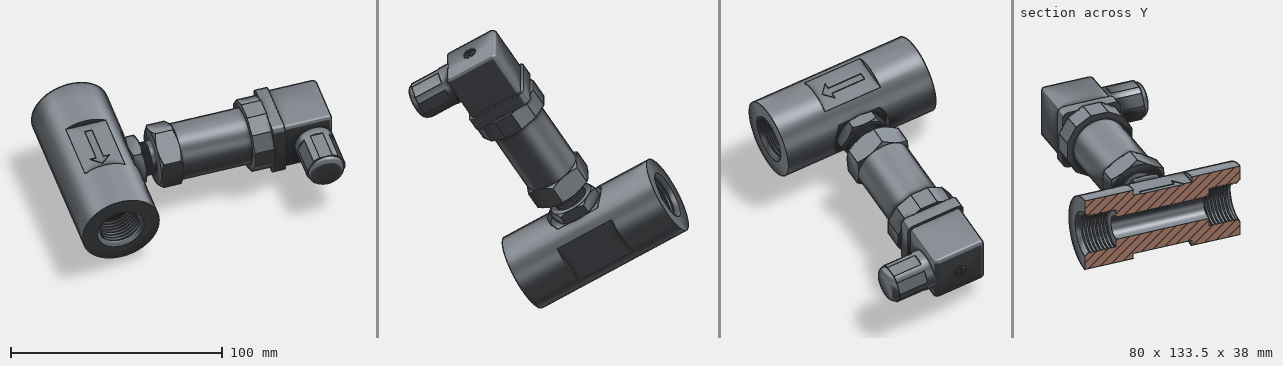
import cadquery as cq
import math


PIPE_LENGTH = 80.0
PIPE_RADIUS = 19.0
BORE_RADIUS = 6.0
PORT_DEPTH = 16.0
PORT_MINOR_RADIUS = 9.7
PORT_MAJOR_RADIUS = 10.3
PORT_PITCH = 1.814
PORT_MOUTH_RADIUS = 11.6
LABEL_LENGTH = 30.0
LABEL_HEIGHT = 16.2
ARROW_LENGTH = 22.0
ARROW_SHAFT_WIDTH = 3.6
ARROW_HEAD_WIDTH = 9.6
ARROW_HEAD_LENGTH = 4.2
ARROW_DEPTH = 0.3
SEAT_Y = 16.0
SEAT_RADIUS = 14.8

NUT_ACROSS_FLATS = 22.0
NUT_THICKNESS = 6.0
HEX_CHAMFER_ANGLE = 30.0

STEM_RADIUS = 8.0
STEM_ROOT_RADIUS = 7.4
STEM_PITCH = 1.0
STEM_THREAD_TURNS = 4
STEM_TIP_Y = 8.0
STEM_FILLET = 0.9
HEX_BOTTOM_Y = 28.5
HEX_THICKNESS = 11.0
HEX_ACROSS_FLATS = 27.0
BARREL_RADIUS = 13.5
RING_BOTTOM_Y = 73.8
RING_THICKNESS = 9.7
RING_SIDES = 12
RING_ACROSS_FLATS = 33.5

FLANGE_WIDTH = 30.0
FLANGE_THICKNESS = 6.0
FLANGE_CORNER = 3.4
PLUG_WIDTH = 27.0
PLUG_TOP_Y = 113.5
PLUG_CORNER = 2.2
TOTAL_TOP_Y = 114.5
SCREW_RADIUS = 3.1
SCREW_CHAMFER = 0.6
SCREW_SLOT_WIDTH = 1.0

GLAND_RADIUS = 9.4
GLAND_FLATS_START_X = 17.6
GLAND_FLATS_END_X = 32.4
GLAND_END_X = 35.5
GLAND_ACROSS_FLATS = 17.75
GLAND_NOSE_RADIUS = 8.7

NUT_TOP_Y = SEAT_Y + NUT_THICKNESS
HEX_TOP_Y = HEX_BOTTOM_Y + HEX_THICKNESS
RING_TOP_Y = RING_BOTTOM_Y + RING_THICKNESS
FLANGE_TOP_Y = RING_TOP_Y + FLANGE_THICKNESS
GLAND_Y = PLUG_TOP_Y - GLAND_RADIUS
LABEL_WIDTH = 2 * math.sqrt(PIPE_RADIUS**2 - LABEL_HEIGHT**2)


def plane_at(y):
    """Work plane facing +Y at height y; its local axes are +Z and +X."""
    return cq.Workplane(cq.Plane(origin=(0, y, 0), xDir=(0, 0, 1), normal=(0, 1, 0)))


def post(radius, bottom_y, top_y):
    """Round post along Y."""
    return plane_at(bottom_y).circle(radius).extrude(top_y - bottom_y)


def chamfered_hex(across_flats, bottom_y, thickness, corner_angle):
    """Hexagon along Y with conically chamfered corners; corner_angle turns a corner from Z towards X."""
    flat_radius = across_flats / 2
    corner_radius = flat_radius / math.cos(math.pi / 6)
    drop = (corner_radius - flat_radius) * math.tan(math.radians(HEX_CHAMFER_ANGLE))
    top_y = bottom_y + thickness
    prism = (
        plane_at(bottom_y)
        .transformed(rotate=(0, 0, corner_angle))
        .polygon(6, 2 * corner_radius)
        .extrude(thickness)
    )
    envelope = (
        cq.Workplane("XY")
        .moveTo(0, bottom_y)
        .lineTo(flat_radius, bottom_y)
        .lineTo(corner_radius, bottom_y + drop)
        .lineTo(corner_radius, top_y - drop)
        .lineTo(flat_radius, top_y)
        .lineTo(0, top_y)
        .close()
        .revolve(360, (0, 0, 0), (0, 1, 0))
    )
    return prism.intersect(envelope)


def port_cutter():
    """Threaded port at the -X end: a chamfered mouth and a bore with V-shaped thread grooves."""
    end_x = -PIPE_LENGTH / 2
    mouth_depth = PORT_MOUTH_RADIUS - PORT_MAJOR_RADIUS
    thread_start_x = end_x + mouth_depth
    turns = int((PORT_DEPTH - mouth_depth) / PORT_PITCH)
    profile = cq.Workplane("XY").moveTo(end_x, 0).lineTo(end_x, PORT_MOUTH_RADIUS)
    profile = profile.lineTo(thread_start_x, PORT_MAJOR_RADIUS)
    for turn in range(turns):
        root_x = thread_start_x + turn * PORT_PITCH
        profile = profile.lineTo(root_x + PORT_PITCH / 2, PORT_MINOR_RADIUS)
        profile = profile.lineTo(root_x + PORT_PITCH, PORT_MAJOR_RADIUS)
    profile = profile.lineTo(end_x + PORT_DEPTH, PORT_MINOR_RADIUS).lineTo(end_x + PORT_DEPTH, 0)
    return profile.close().revolve(360, (0, 0, 0), (1, 0, 0))


def flow_arrow():
    """Cutter for the arrow sunk into the top label flat, pointing along the flow (+X)."""
    tip_x = ARROW_LENGTH / 2
    neck_x = tip_x - ARROW_HEAD_LENGTH
    half_shaft = ARROW_SHAFT_WIDTH / 2
    half_head = ARROW_HEAD_WIDTH / 2
    return (
        cq.Workplane("XY", origin=(0, 0, LABEL_HEIGHT - ARROW_DEPTH))
        .moveTo(-tip_x, -half_shaft)
        .lineTo(neck_x, -half_shaft)
        .lineTo(neck_x, -half_head)
        .lineTo(tip_x, 0)
        .lineTo(neck_x, half_head)
        .lineTo(neck_x, half_shaft)
        .lineTo(-tip_x, half_shaft)
        .close()
        .extrude(2 * ARROW_DEPTH)
    )


def make_housing():
    pipe = cq.Workplane("YZ", origin=(-PIPE_LENGTH / 2, 0, 0)).circle(PIPE_RADIUS).extrude(PIPE_LENGTH)
    bore = cq.Workplane("YZ", origin=(-PIPE_LENGTH / 2, 0, 0)).circle(BORE_RADIUS).extrude(PIPE_LENGTH)
    pipe = pipe.cut(bore)
    port = port_cutter()
    pipe = pipe.cut(port).cut(port.mirror("YZ"))
    label_depth = PIPE_RADIUS - LABEL_HEIGHT
    for side in (1, -1):
        label_z = side * (LABEL_HEIGHT + label_depth / 2)
        label = cq.Workplane("XY", origin=(0, 0, label_z)).box(LABEL_LENGTH, LABEL_WIDTH, label_depth)
        pipe = pipe.cut(label)
    pipe = pipe.cut(flow_arrow())
    pipe = pipe.cut(post(SEAT_RADIUS, SEAT_Y, PIPE_RADIUS))
    return pipe.cut(post(STEM_RADIUS, STEM_TIP_Y, SEAT_Y))


def make_lock_nut():
    nut = chamfered_hex(NUT_ACROSS_FLATS, SEAT_Y, NUT_THICKNESS, 90)
    return nut.cut(post(STEM_RADIUS, SEAT_Y, NUT_TOP_Y))


def switch_stem():
    """Threaded stem, grooved between the nut and the hexagon, flaring into the hexagon."""
    profile = cq.Workplane("XY").moveTo(0, STEM_TIP_Y).lineTo(STEM_RADIUS, STEM_TIP_Y)
    profile = profile.lineTo(STEM_RADIUS, NUT_TOP_Y)
    for turn in range(STEM_THREAD_TURNS):
        groove_y = NUT_TOP_Y + turn * STEM_PITCH
        profile = profile.lineTo(STEM_ROOT_RADIUS, groove_y + STEM_PITCH / 2)
        profile = profile.lineTo(STEM_RADIUS, groove_y + STEM_PITCH)
    profile = (
        profile.lineTo(STEM_RADIUS, HEX_BOTTOM_Y - STEM_FILLET)
        .radiusArc((STEM_RADIUS + STEM_FILLET, HEX_BOTTOM_Y), STEM_FILLET)
        .lineTo(0, HEX_BOTTOM_Y)
        .close()
    )
    return profile.revolve(360, (0, 0, 0), (0, 1, 0))


def coupling_ring():
    """Twelve-sided ring with a flat facing each axis."""
    half_side_angle = math.pi / RING_SIDES
    corner_diameter = RING_ACROSS_FLATS / math.cos(half_side_angle)
    return (
        plane_at(RING_BOTTOM_Y)
        .transformed(rotate=(0, 0, math.degrees(half_side_angle)))
        .polygon(RING_SIDES, corner_diameter)
        .extrude(RING_THICKNESS)
    )


def plug_block():
    """Square flange and plug with rounded edges, and a cross-slotted screw head on top."""
    flange = plane_at(RING_TOP_Y).rect(FLANGE_WIDTH, FLANGE_WIDTH).extrude(FLANGE_THICKNESS)
    flange = flange.edges("|Y").fillet(FLANGE_CORNER)
    block = plane_at(FLANGE_TOP_Y).rect(PLUG_WIDTH, PLUG_WIDTH).extrude(PLUG_TOP_Y - FLANGE_TOP_Y)
    block = block.edges("|Y or >Y").fillet(PLUG_CORNER)
    screw = post(SCREW_RADIUS, PLUG_TOP_Y, TOTAL_TOP_Y).faces(">Y").chamfer(SCREW_CHAMFER)
    for length, width in ((2 * SCREW_RADIUS, SCREW_SLOT_WIDTH), (SCREW_SLOT_WIDTH, 2 * SCREW_RADIUS)):
        screw = screw.cut(plane_at(PLUG_TOP_Y).rect(length, width).extrude(TOTAL_TOP_Y - PLUG_TOP_Y))
    return flange.union(block).union(screw)


def cable_gland():
    """Round gland with six flats and a rounded nose, rooted in the middle of the plug."""

    def gland_plane(x):
        return cq.Workplane("YZ", origin=(x, GLAND_Y, 0))

    flats_length = GLAND_FLATS_END_X - GLAND_FLATS_START_X
    collar = gland_plane(0).circle(GLAND_RADIUS).extrude(GLAND_FLATS_START_X)
    grip = gland_plane(GLAND_FLATS_START_X).circle(GLAND_RADIUS).extrude(flats_length)
    hexagon = (
        gland_plane(GLAND_FLATS_START_X)
        .polygon(6, GLAND_ACROSS_FLATS / math.cos(math.pi / 6))
        .extrude(flats_length)
    )
    nose_length = GLAND_END_X - GLAND_FLATS_END_X
    nose = (
        cq.Workplane("XY", origin=(GLAND_FLATS_END_X, GLAND_Y, 0))
        .lineTo(0, GLAND_NOSE_RADIUS)
        .radiusArc((nose_length, GLAND_NOSE_RADIUS - nose_length), nose_length)
        .lineTo(nose_length, 0)
        .close()
        .revolve(360, (0, 0, 0), (1, 0, 0))
    )
    return collar.union(grip.intersect(hexagon)).union(nose)


def make_flow_switch():
    hexagon = chamfered_hex(HEX_ACROSS_FLATS, HEX_BOTTOM_Y, HEX_THICKNESS, 0)
    barrel = post(BARREL_RADIUS, HEX_TOP_Y, RING_BOTTOM_Y)
    switch = switch_stem().union(hexagon).union(barrel)
    return switch.union(coupling_ring()).union(plug_block()).union(cable_gland())


housing = make_housing()
lock_nut = make_lock_nut()
flow_switch = make_flow_switch()

result = cq.Compound.makeCompound([housing.val(), lock_nut.val(), flow_switch.val()])